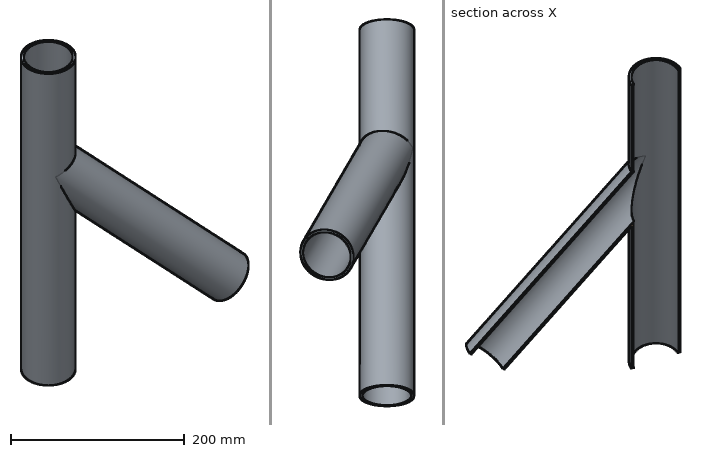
import cadquery as cq

outer_diameter = 63.0
bore_diameter = 56.2

run_length = 457.0

junction_height = 305.0
branch_length = 304.5
branch_tilt = 45.0


def run_cylinder(diameter):
    return cq.Workplane("XY").circle(diameter / 2).extrude(run_length)


def branch_cylinder(diameter):
    """Cylinder from the junction on the run axis to the branch end."""
    hanging = cq.Workplane("XY").circle(diameter / 2).extrude(-branch_length)
    tilted = hanging.rotate((0, 0, 0), (1, 0, 0), branch_tilt)
    return tilted.translate((0, 0, junction_height))


half_space = cq.Workplane("XY").box(
    2 * outer_diameter, 2 * run_length, 2 * run_length, centered=(True, False, True)
)

outside = run_cylinder(outer_diameter).union(branch_cylinder(outer_diameter).intersect(half_space))

bores = run_cylinder(bore_diameter).union(branch_cylinder(bore_diameter).intersect(half_space))

result = outside.cut(bores)